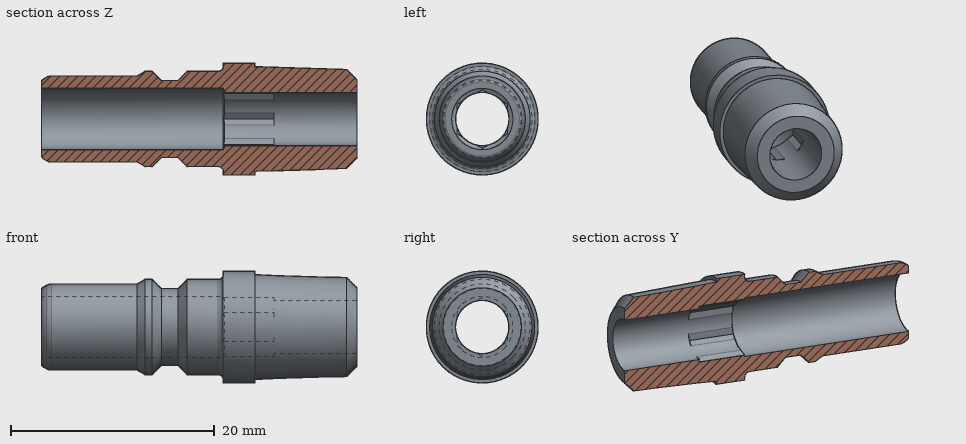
import cadquery as cq
import math

total_length = 31.0

nose_diameter = 8.45
lead_in_length = 0.7
lead_in_angle = 30.0
face_edge_radius = 0.3
lead_in_blend_radius = 1.0

body_diameter = 9.4
neck_diameter = 7.6
rib_start = 9.4
rib_front_angle = 30.0
rib_crest_length = 0.68
neck_length = 1.65

flange_diameter = 11.0
flange_start = 17.85
flange_length = 3.1
flange_root_radius = 0.5

taper_start_diameter = 10.32
taper_ratio = 1 / 16
end_chamfer = 1.02

wide_bore_diameter = 6.0
wide_bore_depth = flange_start
drill_point_angle = 140.0
hole_diameter = 5.2
hexagon_flats = 5.0
hexagon_depth = 4.95


def make_body():
    """Solid outside shape, revolved about X from a profile of (x, radius)."""
    nose_radius = nose_diameter / 2
    body_radius = body_diameter / 2
    neck_radius = neck_diameter / 2
    flange_radius = flange_diameter / 2
    taper_start_radius = taper_start_diameter / 2

    nose_face_radius = nose_radius - lead_in_length * math.tan(math.radians(lead_in_angle))
    rib_front_length = (body_radius - nose_radius) / math.tan(math.radians(rib_front_angle))
    neck_flank = body_radius - neck_radius
    crest_start = rib_start + rib_front_length
    crest_end = crest_start + rib_crest_length
    neck_start = crest_end + neck_flank
    neck_end = neck_start + neck_length

    flange_end = flange_start + flange_length
    taper_end = total_length - end_chamfer
    taper_end_radius = taper_start_radius - (taper_end - flange_end) * taper_ratio / 2

    diagonal_gap = flange_root_radius * (1 - math.sqrt(0.5))
    root_middle = (flange_start - diagonal_gap, body_radius + diagonal_gap)
    root_start = flange_start - flange_root_radius
    root_top = body_radius + flange_root_radius

    body = (
        cq.Workplane("XY")
        .lineTo(0, nose_face_radius)
        .lineTo(lead_in_length, nose_radius)
        .lineTo(rib_start, nose_radius)
        .lineTo(crest_start, body_radius)
        .lineTo(crest_end, body_radius)
        .lineTo(neck_start, neck_radius)
        .lineTo(neck_end, neck_radius)
        .lineTo(neck_end + neck_flank, body_radius)
        .lineTo(root_start, body_radius)
        .threePointArc(root_middle, (flange_start, root_top))
        .lineTo(flange_start, flange_radius)
        .lineTo(flange_end, flange_radius)
        .lineTo(flange_end, taper_start_radius)
        .lineTo(taper_end, taper_end_radius)
        .lineTo(total_length, taper_end_radius - end_chamfer)
        .lineTo(total_length, 0)
        .close()
        .revolve(360, (0, 0, 0), (1, 0, 0))
    )

    body = body.faces("<X").edges().fillet(face_edge_radius)
    search_margin = 0.03
    lead_in_corner = cq.selectors.BoxSelector(
        (lead_in_length - search_margin, -body_radius, -body_radius),
        (lead_in_length + search_margin, body_radius, body_radius),
    )
    return body.edges(lead_in_corner).fillet(lead_in_blend_radius)


def make_passage():
    """Everything removed from the inside, as one solid."""
    wide_radius = wide_bore_diameter / 2
    hole_radius = hole_diameter / 2
    cone_length = (wide_radius - hole_radius) / math.tan(math.radians(drill_point_angle / 2))
    bores = (
        cq.Workplane("XY")
        .lineTo(0, wide_radius)
        .lineTo(wide_bore_depth, wide_radius)
        .lineTo(wide_bore_depth + cone_length, hole_radius)
        .lineTo(total_length, hole_radius)
        .lineTo(total_length, 0)
        .close()
        .revolve(360, (0, 0, 0), (1, 0, 0))
    )
    hexagon = (
        cq.Workplane("YZ", origin=(wide_bore_depth, 0, 0))
        .transformed(rotate=(0, 0, 90))
        .polygon(6, hexagon_flats / math.cos(math.radians(30)))
        .extrude(hexagon_depth)
    )
    return bores.union(hexagon)


result = make_body().cut(make_passage())